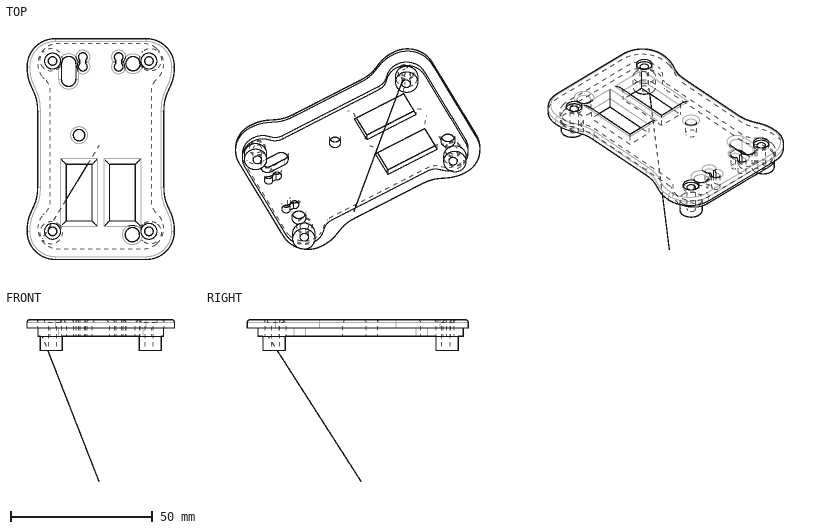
import cadquery as cq
import math

plate_length = 78.0
plate_width = 52.0
waist_width = 44.6
waist_straight = 27.0
corner_radius = 10.0
plate_thickness = 3.0
edge_round = 1.0

mount_y = 1.0

lip_thickness = 3.0
lip_lobe_radius = 7.25
lip_lobe_x = 14.9
lip_lobe_y = 29.0
lip_waist_radius = 5.4
lip_waist_y = 19.5

boss_diameter = 7.9
boss_height = 5.0
boss_x = 17.5
boss_y = 30.5

screw_diameter = 3.0
counterbore_diameter = 5.6
counterbore_depth = 1.0
screw_x = 17.0
screw_y = 30.0

button_diameter = 5.0
button_back = (11.4, 30.1)
button_front = (11.15, -30.2)
sensor_diameter = 4.0
sensor_center = (-7.65, 4.9)
slot_x = -11.3
slot_spacing = 5.5
slot_y = 27.4
keyhole_diameter = 3.0
keyhole_spacing = 3.4
keyhole_neck = 2.0
keyhole_x = 6.3
keyhole_y = 30.7
window_width = 9.05
window_length = 19.9
window_x = 7.65
window_y = -15.4
window_round = 2.0

wire_diameter = 0.1
wire_depth = 57.1
wire_end = (-0.6, 1.2)
wire_top = (-20.6, -31.6)

plate_bottom = -plate_thickness
lip_bottom = plate_bottom - lip_thickness
boss_bottom = lip_bottom - boss_height
total_height = -boss_bottom


def make_plate():
    """Plate with four round corners, S-curved flanks and a rounded top edge."""
    half_width = plate_width / 2
    half_waist = waist_width / 2
    half_length = plate_length / 2
    corner_x = half_width - corner_radius
    corner_y = half_length - corner_radius
    waist_y = waist_straight / 2
    middle_y = (corner_y + waist_y) / 2
    diagonal = corner_radius * math.sqrt(0.5)
    flank = [(half_waist, waist_y), (half_waist, middle_y), (half_width, middle_y), (half_width, corner_y)]

    quarter = (
        cq.Workplane("XY")
        .workplane(offset=plate_bottom)
        .lineTo(half_waist, 0)
        .lineTo(half_waist, waist_y)
        .bezier(flank)
        .threePointArc((corner_x + diagonal, corner_y + diagonal), (corner_x, half_length))
        .lineTo(0, half_length)
        .close()
        .extrude(plate_thickness)
    )
    half = quarter.union(quarter.mirror("YZ"))
    plate = half.union(half.mirror("XZ")).clean()
    return plate.faces(">Z").edges().fillet(edge_round)


def make_lip():
    """Lip with a round lobe at each corner and a narrower straight waist."""
    arc_reach = lip_lobe_radius + lip_waist_radius
    sine = (lip_lobe_y - lip_waist_y) / arc_reach
    cosine = math.sqrt(1 - sine**2)
    waist_center_x = lip_lobe_x + arc_reach * cosine
    half_waist = waist_center_x - lip_waist_radius
    half_length = lip_lobe_y + lip_lobe_radius

    join = (lip_lobe_x + lip_lobe_radius * cosine, lip_lobe_y - lip_lobe_radius * sine)
    half_angle = math.asin(sine) / 2
    waist_middle = (
        waist_center_x - lip_waist_radius * math.cos(half_angle),
        lip_waist_y + lip_waist_radius * math.sin(half_angle),
    )

    quarter = (
        cq.Workplane("XY")
        .workplane(offset=lip_bottom)
        .lineTo(half_waist, 0)
        .lineTo(half_waist, lip_waist_y)
        .threePointArc(waist_middle, join)
        .threePointArc((lip_lobe_x + lip_lobe_radius, lip_lobe_y), (lip_lobe_x, half_length))
        .lineTo(0, half_length)
        .close()
        .extrude(lip_thickness)
    )
    half = quarter.union(quarter.mirror("YZ"))
    return half.union(half.mirror("XZ")).clean().translate((0, mount_y, 0))


def at_corners(x, y):
    """Four points placed symmetrically about the centre of the lip."""
    return [(side * x, mount_y + end * y) for side in (-1, 1) for end in (-1, 1)]


def make_bosses():
    centers = at_corners(boss_x, boss_y)
    plane = cq.Workplane("XY").workplane(offset=boss_bottom)
    return plane.pushPoints(centers).circle(boss_diameter / 2).extrude(boss_height)


def make_screw_cutter():
    centers = at_corners(screw_x, screw_y)
    sketch = cq.Workplane("XY").pushPoints(centers)
    shafts = sketch.circle(screw_diameter / 2).extrude(-total_height)
    heads = sketch.circle(counterbore_diameter / 2).extrude(-counterbore_depth)
    return shafts.union(heads)


def flared(opening, rim_round):
    """Turn a straight cutter into one that also leaves a rounded rim on the top face."""
    half_width = plate_width / 2
    half_length = plate_length / 2
    block = cq.Workplane("XY").rect(2 * plate_width, 2 * plate_length).extrude(lip_bottom)
    rim = cq.selectors.BoxSelector(
        (-half_width, -half_length, -rim_round / 2),
        (half_width, half_length, rim_round / 2),
    )
    pierced = block.cut(opening).edges(rim).fillet(rim_round)
    return block.cut(pierced)


def round_opening(center, diameter):
    straight = cq.Workplane("XY").center(*center).circle(diameter / 2).extrude(lip_bottom)
    return flared(straight, edge_round)


def slot_opening():
    straight = (
        cq.Workplane("XY")
        .center(slot_x, slot_y)
        .slot2D(slot_spacing + button_diameter, button_diameter, 90)
        .extrude(lip_bottom)
    )
    return flared(straight, edge_round)


def keyhole_opening(x):
    """Two flared round holes joined by a straight neck."""
    neck = cq.Workplane("XY").center(x, keyhole_y).rect(keyhole_neck, keyhole_spacing).extrude(lip_bottom)
    back = round_opening((x, keyhole_y + keyhole_spacing / 2), keyhole_diameter)
    front = round_opening((x, keyhole_y - keyhole_spacing / 2), keyhole_diameter)
    return neck.union(back).union(front)


def window_opening(x):
    straight = cq.Workplane("XY").center(x, window_y).rect(window_width, window_length).extrude(lip_bottom)
    return flared(straight, window_round)


def make_wire():
    top = cq.Vector(*wire_top, lip_bottom)
    end = cq.Vector(*wire_end, -wire_depth)
    run = end - top
    return cq.Workplane(cq.Solid.makeCylinder(wire_diameter / 2, run.Length, top, run))


def make_housing(wire):
    housing = make_plate().union(make_lip()).union(make_bosses())
    housing = housing.cut(make_screw_cutter())
    for center in (button_back, button_front):
        housing = housing.cut(round_opening(center, button_diameter))
    housing = housing.cut(round_opening(sensor_center, sensor_diameter))
    housing = housing.cut(slot_opening())
    for side in (-1, 1):
        housing = housing.cut(keyhole_opening(side * keyhole_x))
        housing = housing.cut(window_opening(side * window_x))
    return housing.cut(wire)


wire = make_wire()
housing = make_housing(wire)
result = cq.Compound.makeCompound([housing.solids().val(), wire.val()])